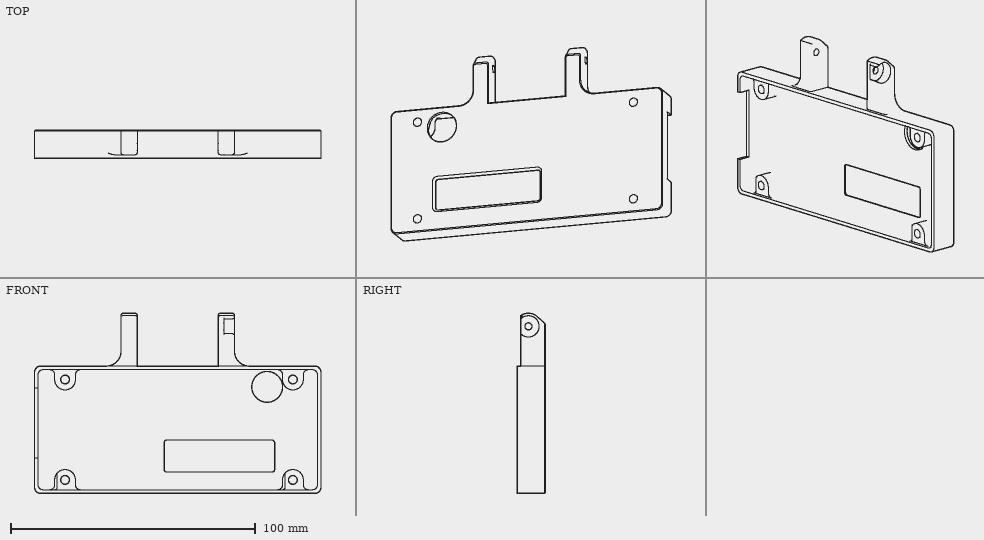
import cadquery as cq
import math

TOLERANCE = 0.001

WIDTH = 117.0
HEIGHT = 52.0
DEPTH = 11.6
WALL = 1.5
FLOOR = 1.5
OUTER_RADIUS = 2.5
INSIDE_FILLET = 2.0
BACK_CHAMFER = 0.4
FLOOR_Y = DEPTH - FLOOR
INNER_RIGHT = WIDTH / 2 - WALL
INNER_TOP = HEIGHT - WALL

BOSS_SPACING_X = 93.0
BOSS_SPACING_Z = 41.0
BOSS_SHIFT_X = 0.5
BOSS_RADIUS = 4.25
BOSS_FRONT_Y = 1.5
BOSS_BORE = 3.5
FLAT_OFFSET = 3.2
FLAT_LENGTH = 5.0
FLAT_FILLET = 1.0

WINDOW_WIDTH = 45.0
WINDOW_HEIGHT = 13.0
WINDOW_CENTER = (17.0, 15.25)
WINDOW_RADIUS = 1.0
WINDOW_FLARE = 1.0
FLARE_ANGLE = 45
ROUND_HOLE_DIAMETER = 12.5
ROUND_HOLE_CENTER = (36.5, 43.5)
NOTCH_BOTTOM = 14.5
NOTCH_TOP = 43.0
NOTCH_DEPTH = 5.0

TOTAL_HEIGHT = 73.6
ARM_INNER_X = 16.5
ARM_OUTER_X = 23.2
ARM_FRONT_Y = 1.5
ARM_FOOT_RADIUS = 6.0
ARM_EDGE_FILLET = 1.0
ARM_OVERLAP = 1.4
PIVOT_Y = 4.65
PIVOT_DIAMETER = 2.8
ARM_TIP_RADIUS = 5.4
ARM_SLOPE = math.radians(42)
PIVOT_Z = TOTAL_HEIGHT - ARM_TIP_RADIUS
HEAD_POCKET_RADIUS = 4.35
HEAD_POCKET_DEPTH = 4.4


def box(x0, x1, y0, y1, z0, z1):
    """Box between two corners."""
    return cq.Workplane("XY").box(x1 - x0, y1 - y0, z1 - z0, centered=False).translate((x0, y0, z0))


def sketch(y):
    """Workplane at depth y facing the front, with local axes along X and Z."""
    return cq.Workplane(cq.Plane((0, y, 0), xDir=(1, 0, 0), normal=(0, -1, 0)))


def cylinder(x, z, radius, y0, y1):
    """Cylinder along Y."""
    return sketch(y1).center(x, z).circle(radius).extrude(y1 - y0)


def boss_outline(x, z, side_z):
    """Boss running from its rounded end to the long wall on side_z."""
    wall_z = INNER_TOP if side_z > 0 else WALL
    post = box(x - BOSS_RADIUS, x + BOSS_RADIUS, 0, FLOOR_Y, min(z, wall_z), max(z, wall_z))
    return post.union(cylinder(x, z, BOSS_RADIUS, 0, FLOOR_Y))


def boss_places():
    """Bore axis of each boss and the side of its wall."""
    places = []
    for side_x in (-1, 1):
        for side_z in (-1, 1):
            x = BOSS_SHIFT_X + side_x * BOSS_SPACING_X / 2
            z = HEIGHT / 2 + side_z * BOSS_SPACING_Z / 2
            places.append((x, z, side_z))
    return places


def inside_outline(y1):
    """Sharp-cornered block filling the tray from the open front to y1."""
    return box(-INNER_RIGHT, INNER_RIGHT, 0, y1, WALL, INNER_TOP)


def make_cavity():
    """Hollow of the tray, left solid around the bosses, with every inside edge rounded."""
    cavity = inside_outline(FLOOR_Y)
    for x, z, side_z in boss_places():
        cavity = cavity.cut(boss_outline(x, z, side_z))
    wall_corners = cavity.edges("|Y").filter(
        lambda edge: min(abs(edge.Center().z - WALL), abs(edge.Center().z - INNER_TOP)) < TOLERANCE)
    cavity = wall_corners.fillet(INSIDE_FILLET)
    cavity = cavity.faces(">Y").edges().fillet(INSIDE_FILLET)
    above_bosses = inside_outline(BOSS_FRONT_Y).edges("|Y").fillet(INSIDE_FILLET)
    return cavity.union(above_bosses)


def make_tray():
    outside = box(-WIDTH / 2, WIDTH / 2, 0, DEPTH, 0, HEIGHT).edges("|Y").fillet(OUTER_RADIUS)
    return outside.cut(make_cavity())


def flat_cutter(x, z):
    """Trims the left flank of a lower boss to a flat, leaving a concave fillet along the wall."""
    right = x - FLAT_OFFSET
    left = x - BOSS_RADIUS - INSIDE_FILLET
    flat_end = BOSS_FRONT_Y + FLAT_LENGTH
    return (box(left, right, BOSS_FRONT_Y, flat_end, WALL, z + BOSS_RADIUS)
            .edges("|Y and >X and <Z").fillet(FLAT_FILLET))


def finish_bosses(part):
    for x, z, side_z in boss_places():
        if side_z < 0:
            part = part.cut(flat_cutter(x, z))
        part = part.cut(cylinder(x, z, BOSS_BORE / 2, 0, DEPTH))
    return part


def arm_side_profile():
    """Arm in the YZ plane: rounded tip about the pivot, then a slope to the back."""
    front_run = PIVOT_Y - ARM_FRONT_Y
    front_top = PIVOT_Z + math.sqrt(ARM_TIP_RADIUS**2 - front_run**2)
    slope_start_y = PIVOT_Y + ARM_TIP_RADIUS * math.sin(ARM_SLOPE)
    slope_start_z = PIVOT_Z + ARM_TIP_RADIUS * math.cos(ARM_SLOPE)
    back_top = slope_start_z - (DEPTH - slope_start_y) * math.tan(ARM_SLOPE)
    base = HEIGHT - ARM_OVERLAP
    return (cq.Workplane("YZ").moveTo(ARM_FRONT_Y, base).lineTo(ARM_FRONT_Y, front_top)
            .threePointArc((PIVOT_Y, TOTAL_HEIGHT), (slope_start_y, slope_start_z))
            .lineTo(DEPTH, back_top).lineTo(DEPTH, base).close())


def arm_front_profile():
    """Arm in the XZ plane, with a rounded foot on its outer side."""
    foot_x = ARM_OUTER_X + ARM_FOOT_RADIUS
    toe_x = foot_x + ARM_OVERLAP
    base = HEIGHT - ARM_OVERLAP
    bend = ARM_FOOT_RADIUS * (1 - math.sqrt(0.5))
    return (sketch(DEPTH).moveTo(ARM_INNER_X, base).lineTo(ARM_INNER_X, TOTAL_HEIGHT)
            .lineTo(ARM_OUTER_X, TOTAL_HEIGHT).lineTo(ARM_OUTER_X, HEIGHT + ARM_FOOT_RADIUS)
            .threePointArc((ARM_OUTER_X + bend, HEIGHT + bend), (foot_x, HEIGHT))
            .lineTo(toe_x, HEIGHT).lineTo(toe_x, base).close())


def make_right_arm():
    toe_x = ARM_OUTER_X + ARM_FOOT_RADIUS + ARM_OVERLAP
    arm = arm_side_profile().extrude(toe_x).intersect(arm_front_profile().extrude(DEPTH))
    front_edges = arm.faces("<Y").edges("(not <Z) and (not >Z) and (not >X)")
    tip_edges = arm.edges("not |X").filter(
        lambda edge: edge.Center().z > PIVOT_Z
        and ARM_FRONT_Y + TOLERANCE < edge.Center().y < DEPTH - TOLERANCE)
    return arm.newObject(front_edges.vals() + tip_edges.vals()).fillet(ARM_EDGE_FILLET)


def cut_arm_details(part):
    """Pivot bore through both arms and a round pocket in the outer side of the right arm."""
    pivot = cq.Workplane("YZ").center(PIVOT_Y, PIVOT_Z).circle(PIVOT_DIAMETER / 2)
    part = part.cut(pivot.extrude(ARM_OUTER_X, both=True))
    pocket = (cq.Workplane("YZ", origin=(ARM_OUTER_X - HEAD_POCKET_DEPTH, 0, 0))
              .center(PIVOT_Y, PIVOT_Z).circle(HEAD_POCKET_RADIUS).extrude(HEAD_POCKET_DEPTH))
    return part.cut(pocket)


def make_window():
    """Window cutter, widening toward the back of the floor."""
    def outline(y, margin):
        rectangle = cq.Sketch().rect(WINDOW_WIDTH + 2 * margin, WINDOW_HEIGHT + 2 * margin)
        return sketch(y).center(*WINDOW_CENTER).placeSketch(rectangle.vertices().fillet(WINDOW_RADIUS + margin))

    through = outline(DEPTH, 0).extrude(DEPTH)
    flare = outline(DEPTH, WINDOW_FLARE).extrude(WINDOW_FLARE, taper=FLARE_ANGLE)
    return through.union(flare)


def cut_openings(part):
    round_hole = cylinder(*ROUND_HOLE_CENTER, ROUND_HOLE_DIAMETER / 2, 0, DEPTH)
    notch = box(-WIDTH / 2, -INNER_RIGHT, 0, NOTCH_DEPTH, NOTCH_BOTTOM, NOTCH_TOP)
    return part.cut(make_window()).cut(round_hole).cut(notch)


right_arm = make_right_arm()
left_arm = right_arm.mirror("YZ")
body = make_tray().union(right_arm).union(left_arm)
body = body.faces(">Y").edges("not (|X and >Z)").chamfer(BACK_CHAMFER)
body = finish_bosses(body)
body = cut_arm_details(body)
result = cut_openings(body)